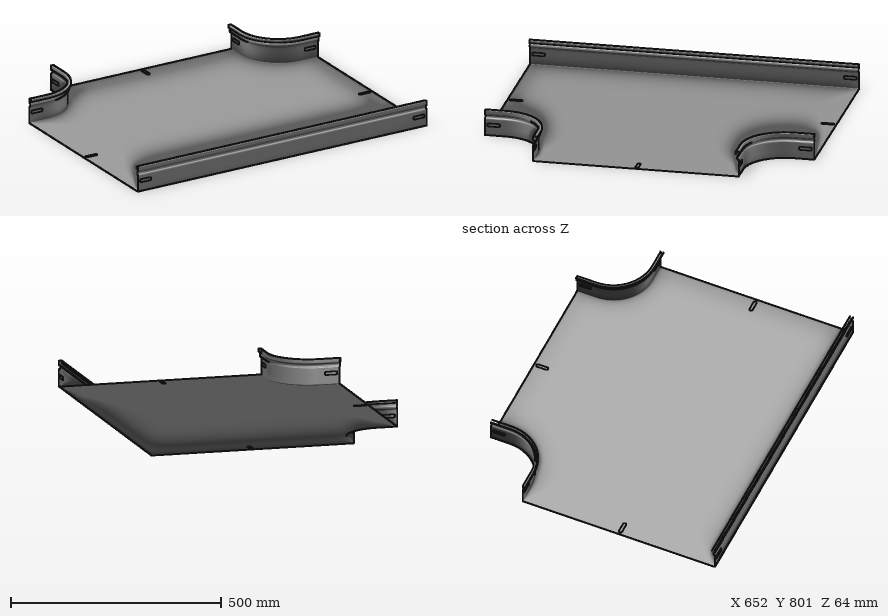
import cadquery as cq
import math

LENGTH = 801.0
WIDTH = 652.0
HEIGHT = 64.0
SHEET = 1.0

STRAIGHT = 50.0
CORNER_RADIUS = 100.0
NOTCH = STRAIGHT + CORNER_RADIUS

BASE_BEND_RADIUS = 2.6
RIM_BEND_RADIUS = 2.0
FLANGE_WIDTH = 9.0
LIP_HEIGHT = 7.0
BEAD_HEIGHT = 48.0
BEAD_ROOT_RADIUS = 3.0
BEAD_CREST_RADIUS = 5.0
BEAD_FLANK_ANGLE = math.radians(62)

SLOT_LENGTH = 31.0
SLOT_WIDTH = 8.0
SLOT_END_GAP = 6.0
WALL_SLOT_HEIGHT = 27.0

TOUCHING = 8.01e-06

SLOT_MIDDLE = SLOT_END_GAP + SLOT_LENGTH / 2
SLOT_DEPTH = SHEET / 2

BEAD_ROOT_TANGENT = BEAD_ROOT_RADIUS * math.tan(BEAD_FLANK_ANGLE / 2)
BEAD_CREST_TANGENT = BEAD_CREST_RADIUS * math.tan(BEAD_FLANK_ANGLE)
BEAD_FLANK = BEAD_ROOT_TANGENT + BEAD_CREST_TANGENT
BEAD_SHARP_DEPTH = BEAD_FLANK * math.sin(BEAD_FLANK_ANGLE)
BEAD_HALF_SPAN = BEAD_FLANK * math.cos(BEAD_FLANK_ANGLE)

WALL_PATH = [
    (BASE_BEND_RADIUS + SHEET, 0, 0),
    (0, 0, BASE_BEND_RADIUS),
    (0, BEAD_HEIGHT - BEAD_HALF_SPAN, BEAD_ROOT_RADIUS),
    (BEAD_SHARP_DEPTH, BEAD_HEIGHT, BEAD_CREST_RADIUS),
    (0, BEAD_HEIGHT + BEAD_HALF_SPAN, BEAD_ROOT_RADIUS),
    (0, HEIGHT, RIM_BEND_RADIUS),
    (FLANGE_WIDTH, HEIGHT, RIM_BEND_RADIUS),
    (FLANGE_WIDTH, HEIGHT - LIP_HEIGHT, 0),
]


def bend_arc(before, corner, after, offset):
    """Start, middle and end of one bend, shifted inward by offset."""
    point = cq.Vector(corner[0], corner[1])
    radius = corner[2]
    back = (cq.Vector(before[0], before[1]) - point).normalized()
    ahead = (cq.Vector(after[0], after[1]) - point).normalized()
    half_angle = back.getAngle(ahead) / 2
    bisector = (back + ahead).normalized()
    centre = point + bisector * (radius / math.sin(half_angle))
    turns_inward = back.cross(ahead).z > 0
    arc_radius = radius - offset if turns_inward else radius + offset
    start_ray = (point + back * (radius / math.tan(half_angle)) - centre).normalized()
    end_ray = (point + ahead * (radius / math.tan(half_angle)) - centre).normalized()
    rays = (start_ray, bisector * -1, end_ray)
    return [(centre + ray * arc_radius).toTuple()[:2] for ray in rays]


def trace_bends(section, here, arcs):
    """Draw bends joined by straights, with no straight where two bends touch."""
    for start, middle, end in arcs:
        if math.dist(here, start) > TOUCHING:
            section = section.lineTo(*start)
        section = section.threePointArc(middle, end)
        here = end
    return section


def wall_section(plane, origin):
    """Closed bent-sheet section of the wall."""
    corners = list(zip(WALL_PATH, WALL_PATH[1:], WALL_PATH[2:]))
    outer_arcs = [bend_arc(*corner, 0) for corner in corners]
    inner_arcs = [bend_arc(*corner, SHEET)[::-1] for corner in reversed(corners)]
    foot = WALL_PATH[0][:2]
    lip_outer = WALL_PATH[-1][:2]
    lip_inner = (lip_outer[0] - SHEET, lip_outer[1])
    section = cq.Workplane(plane, origin=origin).moveTo(*foot)
    section = trace_bends(section, foot, outer_arcs)
    section = section.lineTo(*lip_outer).lineTo(*lip_inner)
    section = trace_bends(section, lip_inner, inner_arcs)
    return section.lineTo(foot[0], foot[1] + SHEET).close()


def base_plate():
    """Flat floor, set in from every outer wall by the base bend."""
    inset = BASE_BEND_RADIUS
    run_side = NOTCH + inset
    half = LENGTH / 2
    return (
        cq.Workplane("XY")
        .moveTo(0, -half + run_side)
        .lineTo(STRAIGHT, -half + run_side)
        .radiusArc((run_side, -half + STRAIGHT), CORNER_RADIUS + inset)
        .lineTo(run_side, -half)
        .lineTo(WIDTH - inset, -half)
        .lineTo(WIDTH - inset, half)
        .lineTo(run_side, half)
        .lineTo(run_side, half - STRAIGHT)
        .radiusArc((STRAIGHT, half - run_side), CORNER_RADIUS + inset)
        .lineTo(0, half - run_side)
        .close()
        .extrude(SHEET)
    )


def slot_cutter(plane, origin, angle=0):
    """Round-ended slot sunk equally to both sides of a sheet face."""
    slot = cq.Workplane(plane, origin=origin).slot2D(SLOT_LENGTH, SLOT_WIDTH, angle)
    return slot.extrude(SLOT_DEPTH, both=True)


def corner_wall():
    """Wall around the -Y inside corner: two straights joined by a quarter turn."""
    edge = -LENGTH / 2
    branch_straight = wall_section("YZ", (0, edge + NOTCH, 0)).extrude(STRAIGHT)
    run_straight = wall_section("XZ", (NOTCH, edge, 0)).extrude(-STRAIGHT)
    turn = wall_section("XZ", (NOTCH, edge + STRAIGHT, 0)).revolve(
        90, (-CORNER_RADIUS, 0), (-CORNER_RADIUS, 1)
    )
    wall = branch_straight.union(turn).union(run_straight)
    wall = wall.cut(slot_cutter("XZ", (SLOT_MIDDLE, edge + NOTCH, WALL_SLOT_HEIGHT)))
    return wall.cut(slot_cutter("YZ", (NOTCH, edge + SLOT_MIDDLE, WALL_SLOT_HEIGHT)))


def back_wall():
    """Straight wall along the full +X side, facing inward."""
    wall = wall_section("XZ", (0, -LENGTH / 2, 0)).extrude(-LENGTH)
    wall = wall.mirror("YZ").translate((WIDTH, 0, 0))
    for side in (-1, 1):
        place = (WIDTH - SHEET, side * (LENGTH / 2 - SLOT_MIDDLE), WALL_SLOT_HEIGHT)
        wall = wall.cut(slot_cutter("YZ", place))
    return wall


def base_slots():
    """One slot at the middle of each of the three tray openings."""
    run_middle = (NOTCH + WIDTH) / 2
    cutters = slot_cutter("XY", (SLOT_MIDDLE, 0, SHEET))
    for side in (-1, 1):
        place = (run_middle, side * (LENGTH / 2 - SLOT_MIDDLE), SHEET)
        cutters = cutters.union(slot_cutter("XY", place, 90))
    return cutters


near_wall = corner_wall()
far_wall = near_wall.mirror("XZ")
result = base_plate().union(near_wall).union(far_wall).union(back_wall()).cut(base_slots())